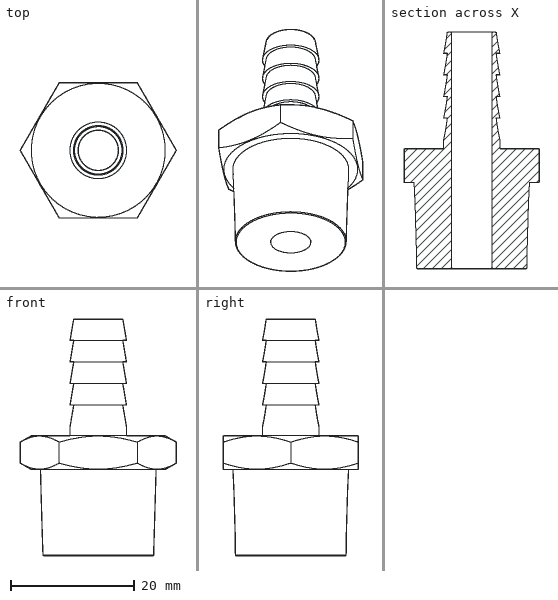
import cadquery as cq
import math

total_height = 38.5
hex_bottom = 14.0
hex_top = 19.52

hex_across_flats = 22.0
hex_across_corners = hex_across_flats / math.cos(math.pi / 6)
hex_face_diameter = 21.75
hex_chamfer_angle = math.radians(30)

pipe_top_diameter = 18.83
pipe_end_diameter = 18.0
pipe_end_chamfer = 0.15

barb_count = 5
barb_pitch = 3.5
barb_large_diameter = 9.2
barb_small_diameter = 8.0
tip_chamfer = 0.15

bore_diameter = 6.5


def make_hexagon():
    """Hexagon with its corners turned down conically at both faces."""
    height = hex_top - hex_bottom
    prism = (
        cq.Workplane("XY", origin=(0, 0, hex_bottom))
        .polygon(6, hex_across_corners)
        .extrude(height)
    )
    face_radius = hex_face_diameter / 2
    corner_radius = hex_across_corners / 2
    corner_drop = (corner_radius - face_radius) * math.tan(hex_chamfer_angle)
    turned_envelope = (
        cq.Workplane("XZ")
        .moveTo(0, hex_bottom)
        .lineTo(face_radius, hex_bottom)
        .lineTo(corner_radius, hex_bottom + corner_drop)
        .lineTo(corner_radius, hex_top - corner_drop)
        .lineTo(face_radius, hex_top)
        .lineTo(0, hex_top)
        .close()
        .revolve(360, (0, 0, 0), (0, 1, 0))
    )
    return prism.intersect(turned_envelope)


def make_pipe_end():
    """Taper that narrows toward the bottom, with a small end chamfer."""
    return (
        cq.Workplane("XY")
        .circle(pipe_end_diameter / 2)
        .workplane(offset=hex_bottom)
        .circle(pipe_top_diameter / 2)
        .loft(ruled=True)
        .faces("<Z")
        .chamfer(pipe_end_chamfer)
    )


def make_hose_tail():
    """Straight neck below a stack of barbs that narrow toward the tip."""
    large_radius = barb_large_diameter / 2
    small_radius = barb_small_diameter / 2
    neck_top = total_height - barb_count * barb_pitch
    profile = cq.Workplane("XZ").moveTo(0, hex_top).lineTo(large_radius, hex_top)
    for index in range(barb_count):
        barb_bottom = neck_top + index * barb_pitch
        profile = (
            profile.lineTo(large_radius, barb_bottom)
            .lineTo(small_radius, barb_bottom + barb_pitch)
        )
    tail = profile.lineTo(0, total_height).close().revolve(360, (0, 0, 0), (0, 1, 0))
    return tail.faces(">Z").chamfer(tip_chamfer)


bore = cq.Workplane("XY").circle(bore_diameter / 2).extrude(total_height)
result = make_hexagon().union(make_pipe_end()).union(make_hose_tail()).cut(bore)